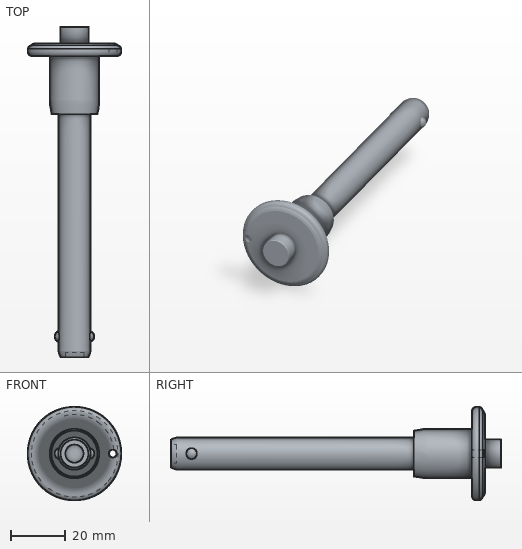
import cadquery as cq
import math


total_length = 122.3
tip_length = 2.3
collar_start = 90.0
collar_taper_length = 5.3
flange_front = 111.4
flange_back = 116.3

shank_diameter = 12.0
tip_diameter = 10.3
collar_diameter = 18.3
collar_nose_diameter = 17.0
flange_diameter = 34.7
button_diameter = 10.6

rim_front_width = 1.7
rim_front_depth = 1.8
rim_band_width = 0.9
rim_back_width = 1.3
rim_back_depth = 1.3
back_crown_width = 1.5

button_chamfer_length = 0.5
button_chamfer_width = 0.1
socket_diameter = 6.7
socket_depth = 2.0
ball_diameter = 4.2
ball_position = 7.7
ball_tip_span = 14.7
lanyard_hole_diameter = 2.8
lanyard_hole_offset = 14.2


def bulge_point(start, end, bulge):
    """Middle of an arc from start to end, raised by bulge to the right of its chord."""
    dx = end[0] - start[0]
    dy = end[1] - start[1]
    chord = math.hypot(dx, dy)
    middle_x = (start[0] + end[0]) / 2 + bulge * dy / chord
    middle_y = (start[1] + end[1]) / 2 - bulge * dx / chord
    return middle_x, middle_y


def make_body():
    """Tip, shank, collar, flange and button as one revolved profile."""
    shank_radius = shank_diameter / 2
    collar_radius = collar_diameter / 2
    flange_radius = flange_diameter / 2
    button_radius = button_diameter / 2

    tip_edge = (tip_diameter / 2, 0)
    tip_base = (shank_radius, tip_length)
    collar_nose = (collar_nose_diameter / 2, collar_start)
    collar_shoulder = (collar_radius, collar_start + collar_taper_length)

    rim_front = (flange_radius - rim_front_width, flange_front)
    band_front = (flange_radius, flange_front + rim_front_depth)
    band_back = (flange_radius, band_front[1] + rim_band_width)
    rim_back = (flange_radius - rim_back_width, band_back[1] + rim_back_depth)
    back_face_edge = (rim_back[0] - back_crown_width, flange_back)

    tip_bulge = 0.1
    collar_bulge = 0.18
    rim_front_bulge = 0.5
    rim_back_bulge = 0.2
    back_crown_bulge = 0.1

    profile = (
        cq.Workplane("XY")
        .lineTo(*tip_edge)
        .threePointArc(bulge_point(tip_edge, tip_base, tip_bulge), tip_base)
        .lineTo(shank_radius, collar_start)
        .lineTo(*collar_nose)
        .threePointArc(bulge_point(collar_nose, collar_shoulder, collar_bulge), collar_shoulder)
        .lineTo(collar_radius, flange_front)
        .lineTo(*rim_front)
        .threePointArc(bulge_point(rim_front, band_front, rim_front_bulge), band_front)
        .lineTo(*band_back)
        .threePointArc(bulge_point(band_back, rim_back, rim_back_bulge), rim_back)
        .threePointArc(bulge_point(rim_back, back_face_edge, back_crown_bulge), back_face_edge)
        .lineTo(button_radius, flange_back)
        .lineTo(button_radius, total_length - button_chamfer_length)
        .lineTo(button_radius - button_chamfer_width, total_length)
        .lineTo(0, total_length)
        .close()
    )
    return profile.revolve(360, (0, 0, 0), (0, 1, 0))


def add_locking_balls(body):
    """Two balls standing out of opposite sides of the shank."""
    ball_offset = (ball_tip_span - ball_diameter) / 2
    for side in (-1, 1):
        ball = cq.Workplane("XY").sphere(ball_diameter / 2)
        body = body.union(ball.translate((side * ball_offset, ball_position, 0)))
    return body


def make_y_cylinder(diameter, start, length, x_offset=0):
    """Cylinder along +Y from the given start position."""
    axis_start = cq.Vector(x_offset, start, 0)
    return cq.Workplane(cq.Solid.makeCylinder(diameter / 2, length, axis_start, cq.Vector(0, 1, 0)))


tip_socket = make_y_cylinder(socket_diameter, 0, socket_depth)
lanyard_hole = make_y_cylinder(
    lanyard_hole_diameter, flange_front, flange_back - flange_front, lanyard_hole_offset
)

result = add_locking_balls(make_body()).cut(tip_socket).cut(lanyard_hole)